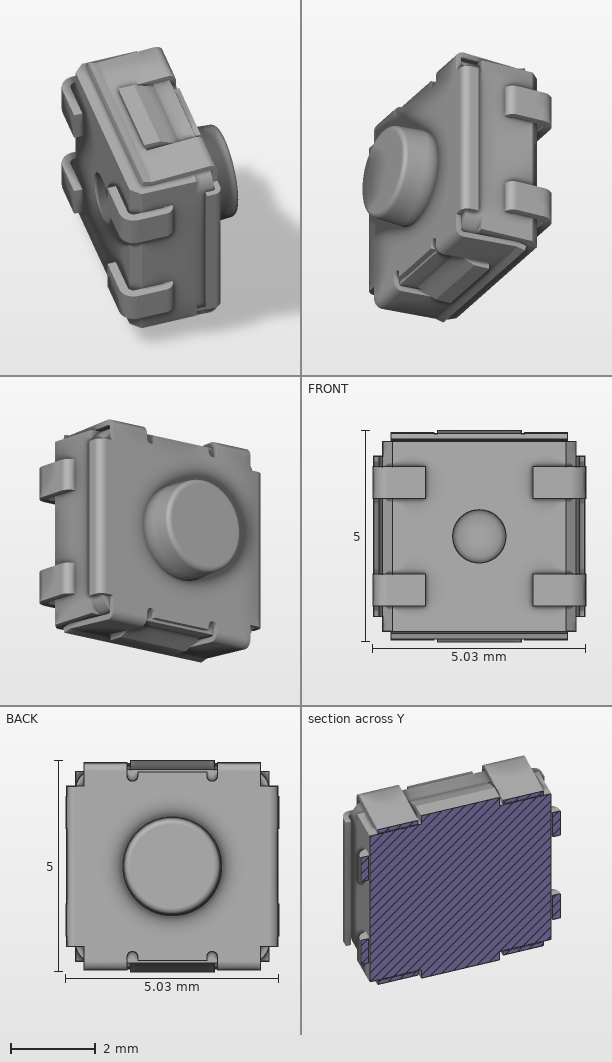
import cadquery as cq
import math


HOUSING_WIDTH = 4.565
HOUSING_HEIGHT = 4.485
HOUSING_BOTTOM = 0.29
HOUSING_SHOULDER = 1.885
HOUSING_TOP = 2.31
HOUSING_CHAMFER = 0.23
UPPER_HEIGHT = 4.565
UPPER_CORNER_RADIUS = 0.465
RECESS_DIAMETER = 1.26
RECESS_DEPTH = 0.25

LATCH_WIDTH = 1.98
LATCH_REACH = 2.5
LATCH_CREST_TOP = 1.4
LATCH_BOTTOM = 1.005
LATCH_ROOT = 0.1

SHEET = 0.13
SHEET_BEND = 0.07
COVER_TOP = 2.465
LIP_REACH = 2.495
LIP_LENGTH = 3.795
LIP_END = 2.075
ARM_WIDTH = 4.175
ARM_REACH = 2.46
ARM_BITE = 0.005
ELBOW_LEVEL = 0.83
ELBOW_BEND = 0.1
TIP_LENGTH = 0.21
TIP_FLARE = 15.0
WINDOW_WIDTH = 2.135
WINDOW_BOTTOM = 1.04
TONGUE_WIDTH = 1.63
TONGUE_REACH = 2.23
RELIEF_REACH = 2.01

BUTTON_BASE_RADIUS = 1.165
BUTTON_TOP = 3.33
BUTTON_TOP_RADIUS = 1.11
BUTTON_RIM = 0.12

TERMINAL_SPAN = 5.03
TERMINAL_WIDTH = 0.755
TERMINAL_SPACING = 2.54
TERMINAL_SHEET = 0.205
TERMINAL_TOP = 1.28
TERMINAL_ROOT = 2.115
TERMINAL_TIP = 1.275
SHOULDER_BEND = 0.01
FOOT_BEND = 0.15


def inner_face(points, thickness):
    """Offset an open polyline to its right by the sheet thickness, with mitred corners."""
    headings = [math.atan2(q[1] - p[1], q[0] - p[0]) for p, q in zip(points, points[1:])]
    before = headings[:1] + headings
    after = headings + headings[-1:]
    offset = []
    for (u, v), a, b in zip(points, before, after):
        middle = (a + b) / 2
        miter = thickness / math.cos((b - a) / 2)
        offset.append((u + miter * math.sin(middle), v - miter * math.cos(middle)))
    return offset


def bent_strip(plane, points, thickness, width, bends):
    """Strip of sheet whose outer face follows the points; bends are inside radii."""
    inner = inner_face(points, thickness)
    base = cq.Workplane(plane)
    strip = base.polyline(points + inner[::-1]).close().extrude(width / 2, both=True)
    for i, bend in enumerate(bends, start=1):
        (u0, v0), (u1, v1), (u2, v2) = points[i - 1:i + 2]
        turns_right = (u1 - u0) * (v2 - v1) - (v1 - v0) * (u2 - u1) < 0
        outer_radius = bend + thickness if turns_right else bend
        inner_radius = bend if turns_right else bend + thickness
        for corner, radius in ((points[i], outer_radius), (inner[i], inner_radius)):
            place = base.plane.toWorldCoords(corner).toTuple()
            strip = strip.edges(cq.selectors.NearestToPointSelector(place)).fillet(radius)
    return strip


def block(width, bottom, top, height):
    """Box centred on X and Z, spanning bottom to top along Y."""
    return cq.Workplane("XY").box(width, top - bottom, height).translate((0, (bottom + top) / 2, 0))


def with_mirror(half, plane):
    return half.union(half.mirror(plane))


def make_housing():
    lower = block(HOUSING_WIDTH, HOUSING_BOTTOM, HOUSING_SHOULDER, HOUSING_HEIGHT)
    lower = lower.faces("<Y").edges("|Z").chamfer(HOUSING_CHAMFER)
    upper = block(HOUSING_WIDTH, HOUSING_SHOULDER, HOUSING_TOP, UPPER_HEIGHT)
    upper = upper.edges("|Y").fillet(UPPER_CORNER_RADIUS)
    recess = (
        cq.Workplane("XZ", origin=(0, HOUSING_BOTTOM, 0))
        .circle(RECESS_DIAMETER / 2)
        .extrude(-RECESS_DEPTH)
    )
    return lower.union(upper).cut(recess)


def make_latches():
    face = UPPER_HEIGHT / 2
    root = HOUSING_HEIGHT / 2 - LATCH_ROOT
    profile = [
        (HOUSING_SHOULDER, root),
        (HOUSING_SHOULDER, face),
        (LATCH_CREST_TOP, LATCH_REACH),
        (LATCH_BOTTOM, LATCH_REACH),
        (LATCH_BOTTOM, root),
    ]
    latch = cq.Workplane("YZ").polyline(profile).close().extrude(LATCH_WIDTH / 2, both=True)
    return with_mirror(latch, "XY")


def make_window():
    """Cutter for one arm window and the two relief slots it runs into in the top plate."""
    window = block(WINDOW_WIDTH, WINDOW_BOTTOM, COVER_TOP, ARM_REACH - TONGUE_REACH)
    window = window.translate((0, 0, (ARM_REACH + TONGUE_REACH) / 2))
    relief_width = (WINDOW_WIDTH - TONGUE_WIDTH) / 2
    relief_centre = (WINDOW_WIDTH + TONGUE_WIDTH) / 4
    floor_centre = RELIEF_REACH + relief_width / 2
    slot = block(relief_width, WINDOW_BOTTOM, COVER_TOP, ARM_REACH - floor_centre)
    slot = slot.translate((relief_centre, 0, (ARM_REACH + floor_centre) / 2))
    floor = (
        cq.Workplane("XZ", origin=(0, WINDOW_BOTTOM, 0))
        .center(relief_centre, floor_centre)
        .circle(relief_width / 2)
        .extrude(WINDOW_BOTTOM - COVER_TOP)
    )
    return window.union(with_mirror(slot.union(floor), "YZ"))


def make_cover():
    lip_path = [(0, COVER_TOP), (LIP_REACH, COVER_TOP), (LIP_REACH, LIP_END)]
    lip = bent_strip("XY", lip_path, SHEET, LIP_LENGTH, [SHEET_BEND])

    elbow_reach = HOUSING_HEIGHT / 2 - ARM_BITE + SHEET
    flare = math.radians(TIP_FLARE)
    tip = (ELBOW_LEVEL - TIP_LENGTH * math.cos(flare), elbow_reach + TIP_LENGTH * math.sin(flare))
    arm_path = [tip, (ELBOW_LEVEL, elbow_reach), (COVER_TOP, ARM_REACH), (COVER_TOP, 0)]
    arm = bent_strip("YZ", arm_path, SHEET, ARM_WIDTH, [ELBOW_BEND, SHEET_BEND])

    arm = arm.cut(make_window())
    return with_mirror(lip, "YZ").union(with_mirror(arm, "XY"))


def make_button():
    profile = [
        (0, HOUSING_TOP),
        (BUTTON_BASE_RADIUS, HOUSING_TOP),
        (BUTTON_BASE_RADIUS, COVER_TOP),
        (BUTTON_TOP_RADIUS, BUTTON_TOP),
        (0, BUTTON_TOP),
    ]
    button = cq.Workplane("XY").polyline(profile).close().revolve(360, (0, 0), (0, 1))
    return button.faces(">Y").edges().fillet(BUTTON_RIM)


def make_terminals():
    side = TERMINAL_SPAN / 2
    path = [(TERMINAL_ROOT, TERMINAL_TOP), (side, TERMINAL_TOP), (side, 0), (TERMINAL_TIP, 0)]
    terminal = bent_strip("XY", path, TERMINAL_SHEET, TERMINAL_WIDTH, [SHOULDER_BEND, FOOT_BEND])
    terminal = terminal.translate((0, 0, TERMINAL_SPACING / 2))
    return with_mirror(with_mirror(terminal, "XY"), "YZ")


result = (
    make_housing()
    .union(make_latches())
    .union(make_cover())
    .union(make_button())
    .union(make_terminals())
)